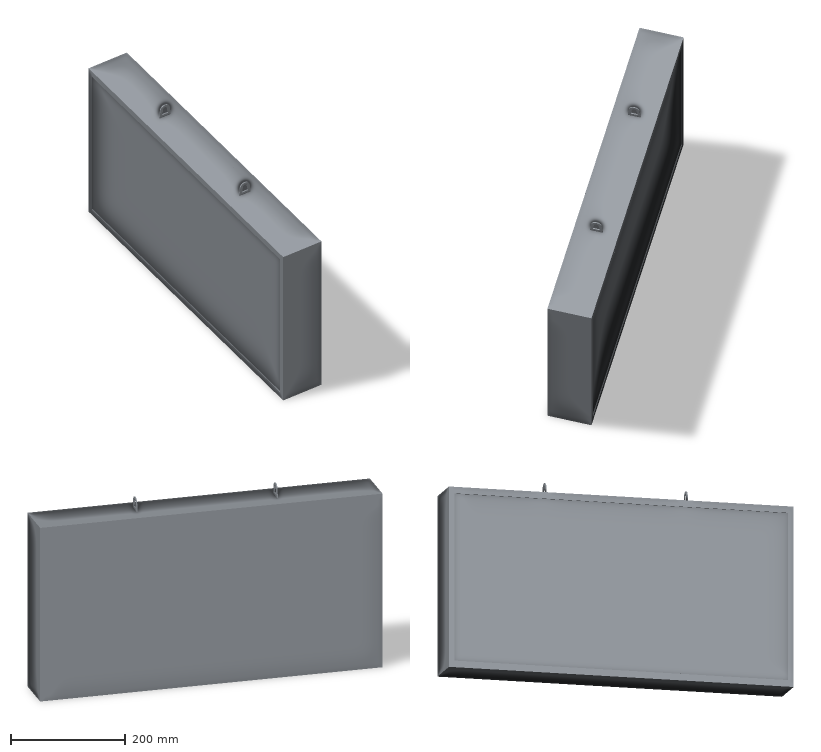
import cadquery as cq

case_length = 624.0
case_depth = 80.0
overall_height = 349.0
lug_height = 25.0
case_height = overall_height - lug_height

side_border = 10.0
end_border = 12.0
recess_depth = 2.0

lug_spacing = 256.0
lug_offset = -0.5
lug_thickness = 2.0
lug_base_width = 23.0
lug_crown_width = 20.0
hole_base_width = 12.5
hole_crown_width = 9.0
hole_sill = 5.5
crown_wall = 4.5


def tapered_arch(base_width, crown_width, bottom, top, x_start):
    """Plate across X: straight tapering legs closed by a half-round crown."""
    crown_radius = crown_width / 2
    spring = top - crown_radius
    return (
        cq.Workplane("YZ", origin=(x_start, 0, 0))
        .moveTo(-base_width / 2, bottom)
        .lineTo(base_width / 2, bottom)
        .lineTo(crown_radius, spring)
        .threePointArc((0, top), (-crown_radius, spring))
        .close()
        .extrude(lug_thickness)
    )


def hanging_lug(x_center):
    x_start = x_center - lug_thickness / 2
    plate = tapered_arch(lug_base_width, lug_crown_width, case_height, overall_height, x_start)
    hole = tapered_arch(
        hole_base_width,
        hole_crown_width,
        case_height + hole_sill,
        overall_height - crown_wall,
        x_start,
    )
    return plate.cut(hole)


case = cq.Workplane("XY").box(case_length, case_depth, case_height, centered=(True, True, False))

recess = (
    case.faces("<Y")
    .workplane(centerOption="CenterOfBoundBox")
    .rect(case_length - 2 * side_border, case_height - 2 * end_border)
    .extrude(-recess_depth, combine=False)
)

result = case.cut(recess)
for side in (-1, 1):
    result = result.union(hanging_lug(lug_offset + side * lug_spacing / 2))